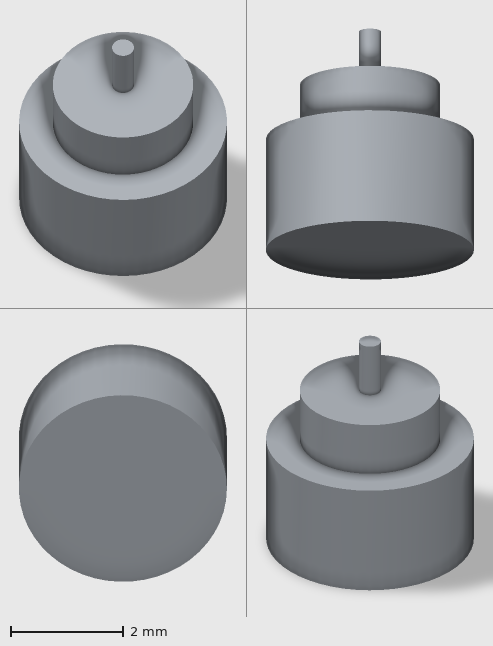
import cadquery as cq

base_diameter = 3.7
base_height = 2.05
collar_diameter = 2.5
collar_height = 1.0
core_diameter = 1.95
pin_diameter = 0.39
pin_length = 1.0

shoulder_z = base_height
collar_top_z = shoulder_z + collar_height


def cylinder(diameter, bottom_z, height):
    """Upright cylinder on the Z axis."""
    return cq.Workplane("XY").workplane(offset=bottom_z).circle(diameter / 2).extrude(height)


def stepped_shell():
    """Wide base with a narrower collar on top, the collar bored for the core."""
    base = cylinder(base_diameter, 0, base_height)
    collar = cylinder(collar_diameter, shoulder_z, collar_height)
    bore = cylinder(core_diameter, shoulder_z, collar_height)
    return base.union(collar).cut(bore)


def core_with_pin():
    """Core that fills the collar flush with its rim and carries the central pin."""
    core = cylinder(core_diameter, shoulder_z, collar_height)
    pin = cylinder(pin_diameter, collar_top_z, pin_length)
    return core.union(pin)


result = stepped_shell().union(core_with_pin(), clean=False)